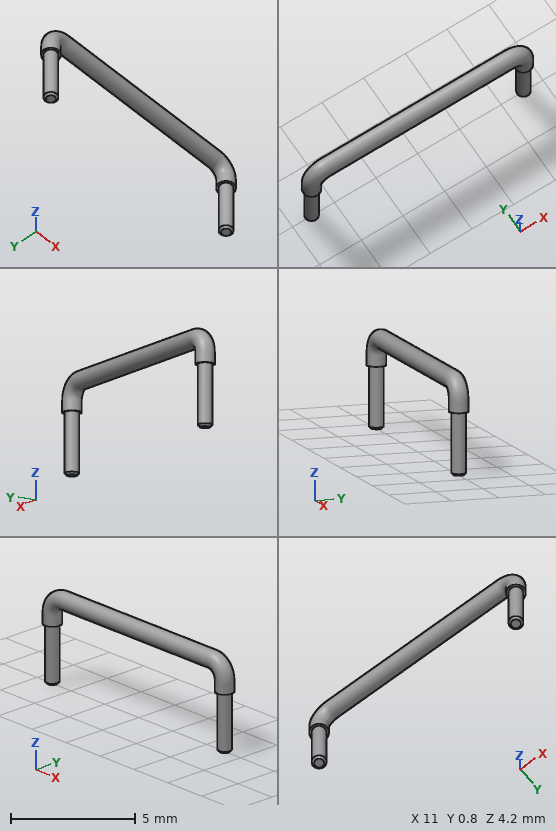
import cadquery as cq

overall_length = 10.96
overall_height = 4.2

sleeve_diameter = 0.8
bend_radius = 0.7
sleeve_leg_length = 0.49

pin_diameter = 0.6
pin_chamfer = 0.1

leg_x = (overall_length - sleeve_diameter) / 2
bar_z = overall_height - sleeve_diameter / 2
bend_z = bar_z - bend_radius
sleeve_end_z = bend_z - sleeve_leg_length
bar_end_x = leg_x - bend_radius


def make_sleeve():
    """Bent rod swept along a straight bar with a quarter bend and a short leg at each end."""
    path = (
        cq.Workplane("XZ")
        .moveTo(-leg_x, sleeve_end_z)
        .lineTo(-leg_x, bend_z)
        .tangentArcPoint((-bar_end_x, bar_z), relative=False)
        .lineTo(bar_end_x, bar_z)
        .tangentArcPoint((leg_x, bend_z), relative=False)
        .lineTo(leg_x, sleeve_end_z)
    )
    return (
        cq.Workplane("XY", origin=(-leg_x, 0, sleeve_end_z))
        .circle(sleeve_diameter / 2)
        .sweep(path)
    )


def make_pin(x):
    """Round pin from its chamfered tip up to the end face of the sleeve."""
    return (
        cq.Workplane("XY", origin=(x, 0, 0))
        .circle(pin_diameter / 2)
        .extrude(sleeve_end_z)
        .faces("<Z")
        .chamfer(pin_chamfer)
    )


sleeve = make_sleeve()
pins = [make_pin(x).val() for x in (-leg_x, leg_x)]

result = cq.Compound.makeCompound([sleeve.val(), *pins])